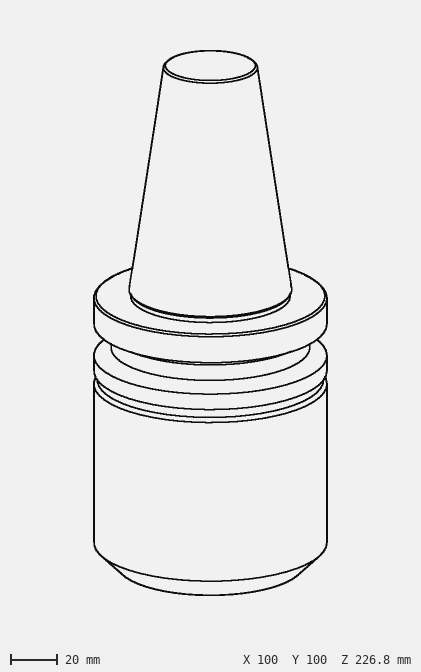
import cadquery as cq

total_height = 226.8
taper_length = 101.8
gauge_height = total_height - taper_length
relief_top = gauge_height - 1.0
flange_top = 122.0
groove_upper_edge = 109.3
groove_lower_edge = 95.0
flange_bottom = 88.0
body_top = 82.0

body_radius = 50.0
groove_radius = 42.6
relief_radius = 34.2
gauge_radius = 35.0
undercut_radius = 48.5

taper_slope = 7 / 48
tip_chamfer = 1.0
flange_chamfer = 1.0
groove_flank_height = 3.6
undercut_slope_height = 1.8
nose_chamfer = 10.0

tip_radius = gauge_radius - taper_slope * taper_length
tip_edge_height = total_height - tip_chamfer
tip_edge_radius = tip_radius + taper_slope * tip_chamfer

nose = [
    (0, 0),
    (body_radius - nose_chamfer, 0),
    (body_radius, nose_chamfer),
    (body_radius, body_top),
]
undercut = [
    (undercut_radius, body_top + undercut_slope_height),
    (undercut_radius, flange_bottom),
]
flange = [
    (body_radius, flange_bottom),
    (body_radius, groove_lower_edge),
    (groove_radius, groove_lower_edge + groove_flank_height),
    (groove_radius, groove_upper_edge - groove_flank_height),
    (body_radius, groove_upper_edge),
    (body_radius, flange_top - flange_chamfer),
    (body_radius - flange_chamfer, flange_top),
]
relief = [
    (relief_radius, flange_top),
    (relief_radius, relief_top),
    (gauge_radius, gauge_height),
]
taper = [
    (tip_edge_radius, tip_edge_height),
    (tip_edge_radius - tip_chamfer, total_height),
    (0, total_height),
]

profile = nose + undercut + flange + relief + taper
result = cq.Workplane("XZ").polyline(profile).close().revolve(360, (0, 0, 0), (0, 1, 0))